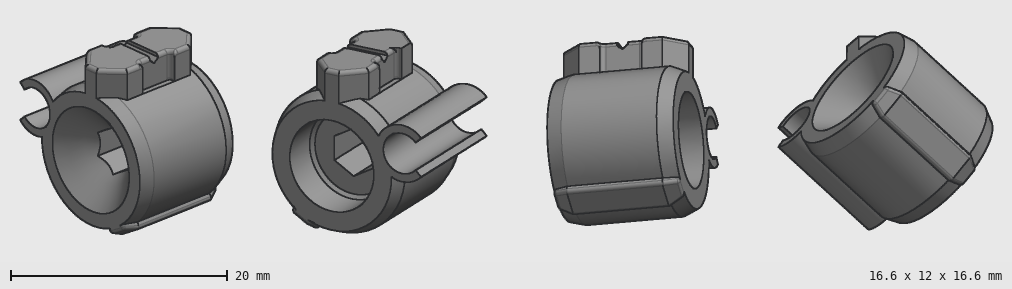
import cadquery as cq
import math

LENGTH = 12.0
BODY_RADIUS = 7.0
FRONT_RADIUS = 6.63
BACK_RADIUS = 6.38
END_TAPER = 1.43

FUNNEL_RADIUS = 5.19
HEX_WIDTH = 4.12
POCKET_RADIUS = 9.0 / 2
POCKET_FLOOR_RADIUS = 8.3 / 2
POCKET_DEPTH = 3.99

CLIP_DISTANCE = 8.0
CLIP_ANGLE = 20
CLIP_OUTER_RADIUS = 2.81
CLIP_INNER_RADIUS = 2
CLIP_HALF_OPENING = 43.3

BLOCK_TOP = 9.49
BLOCK_BASE = 5.82
BLOCK_WIDTH = 5.53
BLOCK_CORNER = 2.01
BLOCK_FILLET = 0.42
NOTCH_LENGTH = 4.02
NOTCH_DEPTH = 0.61
NOTCH_CORNER_RADIUS = 0.42
GROOVE_WIDTH = 1.03
GROOVE_WALL = 0.33
GROOVE_DEPTH = 0.8

RIB_ANGLE = 150
RIB_WIDTH = 3.09
RIB_END_WIDTH = 2.06
RIB_HEIGHT = 0.5
RIB_END_HEIGHT = 0.4
RIB_BASE = 6.07
RIB_FILLET = 0.37

MIDDLE = LENGTH / 2
NOTCH_FLOOR = math.sqrt(BODY_RADIUS**2 - (BLOCK_WIDTH / 2) ** 2)


def make_body():
    pocket_floor = LENGTH - POCKET_DEPTH
    floor_chamfer = POCKET_RADIUS - POCKET_FLOOR_RADIUS
    profile = [
        (0, FUNNEL_RADIUS),
        (FUNNEL_RADIUS, 0),
        (FRONT_RADIUS, 0),
        (BODY_RADIUS, END_TAPER),
        (BODY_RADIUS, LENGTH - END_TAPER),
        (BACK_RADIUS, LENGTH),
        (POCKET_RADIUS, LENGTH),
        (POCKET_RADIUS, pocket_floor + floor_chamfer),
        (POCKET_FLOOR_RADIUS, pocket_floor),
        (0, pocket_floor),
    ]
    return cq.Workplane("XY").polyline(profile).close().revolve(360, (0, 0), (0, 1))


def make_hex_hole():
    corner_diameter = HEX_WIDTH / math.cos(math.radians(30))
    hexagon = cq.Workplane("XZ").polygon(6, corner_diameter).extrude(-LENGTH)
    return hexagon.rotate((0, 0, 0), (0, 1, 0), 30)


def clip_center():
    angle = math.radians(CLIP_ANGLE)
    return -CLIP_DISTANCE * math.cos(angle), CLIP_DISTANCE * math.sin(angle)


def clip_cylinder(radius):
    return cq.Workplane("XZ").center(*clip_center()).circle(radius).extrude(-LENGTH)


def make_clip_opening():
    reach = 2 * CLIP_OUTER_RADIUS
    spread = reach * math.tan(math.radians(CLIP_HALF_OPENING))
    wedge = [(0, 0), (-reach, spread), (-reach, -spread)]
    return cq.Workplane("XZ").center(*clip_center()).polyline(wedge).close().extrude(-LENGTH)


def make_notch(side):
    """Side recess of the block, with its inner corners rounded; side is +1 or -1 along X."""
    depth = 2 * NOTCH_DEPTH
    height = BLOCK_TOP - NOTCH_FLOOR
    inner_edges = "|Z and <X" if side > 0 else "|Z and >X"
    return (
        cq.Workplane("XY")
        .box(depth, NOTCH_LENGTH, height, centered=(True, True, False))
        .edges(inner_edges)
        .fillet(NOTCH_CORNER_RADIUS)
        .translate((side * BLOCK_WIDTH / 2, MIDDLE, NOTCH_FLOOR))
    )


def make_groove():
    half = GROOVE_WIDTH / 2
    profile = [
        (MIDDLE - half, BLOCK_TOP),
        (MIDDLE - half, BLOCK_TOP - GROOVE_WALL),
        (MIDDLE, BLOCK_TOP - GROOVE_DEPTH),
        (MIDDLE + half, BLOCK_TOP - GROOVE_WALL),
        (MIDDLE + half, BLOCK_TOP),
    ]
    return cq.Workplane("YZ").polyline(profile).close().extrude(BLOCK_WIDTH, both=True)


def is_sharp_edge(edge):
    """True for the top edge that stays sharp: on the left side, in front of the notch."""
    center = edge.Center()
    return center.x < -BLOCK_WIDTH / 2 + 0.02 and center.y < MIDDLE


def make_block():
    sharp_block = (
        cq.Workplane("XY")
        .box(BLOCK_WIDTH, LENGTH, BLOCK_TOP - BLOCK_BASE, centered=(True, False, False))
        .edges("|Z")
        .chamfer(BLOCK_CORNER)
        .translate((0, 0, BLOCK_BASE))
        .cut(make_notch(-1))
        .cut(make_notch(1))
    )
    top_edges = sharp_block.faces(">Z").edges().vals()
    rounded_edges = [edge for edge in top_edges if not is_sharp_edge(edge)]
    rounded_block = sharp_block.newObject(rounded_edges).fillet(BLOCK_FILLET)

    left = -BLOCK_WIDTH / 2
    front = MIDDLE - NOTCH_LENGTH / 2 - BLOCK_FILLET
    right = left + NOTCH_DEPTH + BLOCK_FILLET
    round_start = MIDDLE - NOTCH_LENGTH / 2 + NOTCH_CORNER_RADIUS
    round_rise = NOTCH_CORNER_RADIUS * math.sin(math.radians(45))
    round_middle_x = left + NOTCH_DEPTH - NOTCH_CORNER_RADIUS + round_rise
    round_middle_y = round_start - round_rise
    corner_outline = [
        (left, front),
        (right, front),
        (right, round_start),
        (round_middle_x, round_middle_y),
        (left, round_middle_y),
    ]
    corner = cq.Workplane("XY").polyline(corner_outline).close().extrude(BLOCK_TOP)
    sharp_corner = corner.intersect(sharp_block)
    return rounded_block.union(sharp_corner).cut(make_groove())


def is_rounded_rib_edge(edge):
    """True for the outer edges of the rib, but not for the kinks where its tapers begin."""
    center = edge.Center()
    from_end = min(center.y, LENGTH - center.y)
    is_kink = abs(from_end - END_TAPER) < 0.02
    is_base = center.z < RIB_BASE + 0.02
    return not is_kink and not is_base


def make_rib():
    """Rib built on top of the body, narrower and lower at both ends, then turned into place."""
    back_taper = LENGTH - END_TAPER
    side_profile = [
        (0, RIB_BASE),
        (0, FRONT_RADIUS + RIB_END_HEIGHT),
        (END_TAPER, BODY_RADIUS + RIB_HEIGHT),
        (back_taper, BODY_RADIUS + RIB_HEIGHT),
        (LENGTH, BACK_RADIUS + RIB_END_HEIGHT),
        (LENGTH, RIB_BASE),
    ]
    half = RIB_WIDTH / 2
    half_end = RIB_END_WIDTH / 2
    half_plan = [(half_end, 0), (half, END_TAPER), (half, back_taper), (half_end, LENGTH)]
    other_half_plan = [(-x, y) for x, y in reversed(half_plan)]
    plan = cq.Workplane("XY").polyline(half_plan + other_half_plan).close().extrude(BLOCK_TOP)
    pad = cq.Workplane("YZ").polyline(side_profile).close().extrude(half, both=True).intersect(plan)
    rounded_edges = [edge for edge in pad.edges().vals() if is_rounded_rib_edge(edge)]
    rounded_pad = pad.newObject(rounded_edges).fillet(RIB_FILLET)
    return rounded_pad.rotate((0, 0, 0), (0, 1, 0), RIB_ANGLE)


body = make_body().cut(make_hex_hole()).cut(make_notch(-1)).cut(make_notch(1))
clip = clip_cylinder(CLIP_OUTER_RADIUS).cut(make_clip_opening())

result = body.union(make_block()).union(make_rib())
result = result.union(clip).cut(clip_cylinder(CLIP_INNER_RADIUS))